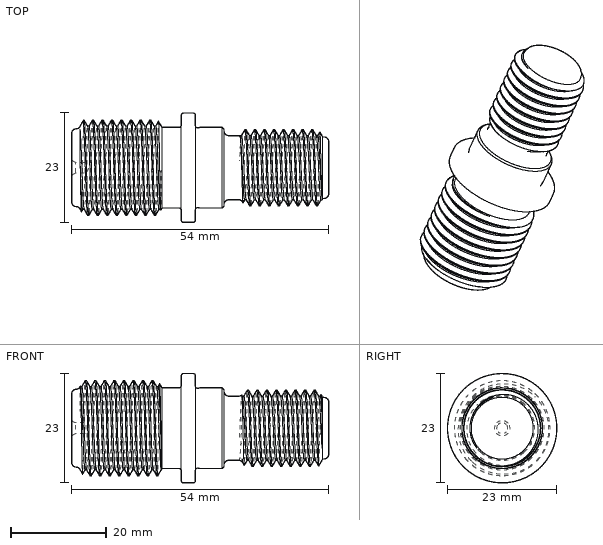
import cadquery as cq
import math

overall_length = 54.0

pitch = 2.0
left_thread_diameter = 20.0
right_thread_diameter = 16.0
flank_angle = 60.0
depth_per_pitch = 0.6134
thread_depth = depth_per_pitch * pitch
crest_width = pitch / 8
cutter_overshoot = 0.1

shank_radius = 8.5
neck_radius = 6.75
left_pilot_radius = 8.2
right_pilot_radius = 6.5
left_end_rounding = 1.0
right_end_rounding = 1.1

left_thread_foot = 1.47
left_thread_end = 18.97
right_thread_foot = 35.6
right_thread_end = 52.7
shoulder_x = 32.0
end_cone_angle = 60.0
left_foot_fillet = 0.8
right_foot_fillet = 1.0

collar_start = 23.0
collar_width = 3.0
collar_end = collar_start + collar_width
collar_radius = 11.5
collar_rounding = 0.5
collar_root_fillet = 0.45

relief_radius = 8.4
relief_width = 0.95
relief_ramp = 0.35

shoulder_chamfer = 0.4
shoulder_fillet = 1.0

hole_radius = 1.15
hole_mouth_radius = 1.6
hole_depth = 3.0
countersink_angle = 60.0
drill_point_angle = 120.0

left_groove_start = 0.0
left_groove_turns = 10
left_start_angle = 0.0
right_groove_start = 17 * pitch
right_groove_turns = 10
right_start_angle = -60.0


def cone_run(rise):
    """Axial length of a thread end cone that climbs by `rise`."""
    return rise / math.tan(math.radians(end_cone_angle))


def foot_tangent(fillet):
    """Distance from a thread foot to the tangent points of its fillet."""
    return fillet * math.tan(math.radians(end_cone_angle) / 2)


def arc_to(profile, centre, radius, start_deg, end_deg):
    """Add an arc given by its centre and its start and end directions."""
    def point(deg):
        angle = math.radians(deg)
        return (centre[0] + radius * math.cos(angle), centre[1] + radius * math.sin(angle))

    return profile.threePointArc(point((start_deg + end_deg) / 2), point(end_deg))


def foot_fillet(profile, foot_x, foot_radius, fillet):
    """Run along the cylinder and blend tangentially into the rising thread end cone."""
    start_x = foot_x - foot_tangent(fillet)
    profile = profile.lineTo(start_x, foot_radius)
    return arc_to(profile, (start_x, foot_radius + fillet), fillet, -90, -90 + end_cone_angle)


def thread_blank(profile, foot_x, foot_radius, end_x, end_radius, crest_radius):
    """Trace the crest cylinder of a thread and its two end cones."""
    profile = profile.lineTo(foot_x + cone_run(crest_radius - foot_radius), crest_radius)
    profile = profile.lineTo(end_x - cone_run(crest_radius - end_radius), crest_radius)
    return profile.lineTo(end_x, end_radius)


def make_body():
    """Revolve the stud outline, with plain cylinders in place of the threads."""
    outline = cq.Workplane("XY").lineTo(0, left_pilot_radius - left_end_rounding)

    pilot_centre = (left_end_rounding, left_pilot_radius - left_end_rounding)
    outline = arc_to(outline, pilot_centre, left_end_rounding, 180, 90)
    outline = foot_fillet(outline, left_thread_foot, left_pilot_radius, left_foot_fillet)
    outline = thread_blank(outline, left_thread_foot, left_pilot_radius,
                           left_thread_end, shank_radius, left_thread_diameter / 2)

    root = collar_root_fillet
    outline = outline.lineTo(collar_start - root, shank_radius)
    outline = arc_to(outline, (collar_start - root, shank_radius + root), root, -90, 0)
    shoulder_radius = collar_radius - collar_rounding
    outline = outline.lineTo(collar_start, shoulder_radius)
    outline = arc_to(outline, (collar_start + collar_rounding, shoulder_radius), collar_rounding, 180, 90)
    outline = outline.lineTo(collar_end - collar_rounding, collar_radius)
    outline = arc_to(outline, (collar_end - collar_rounding, shoulder_radius), collar_rounding, 90, 0)

    outline = outline.lineTo(collar_end, relief_radius + root)
    outline = arc_to(outline, (collar_end + root, relief_radius + root), root, 180, 270)
    relief_end = collar_end + relief_width
    outline = outline.lineTo(relief_end - relief_ramp, relief_radius)
    outline = outline.lineTo(relief_end, shank_radius)

    outline = outline.lineTo(shoulder_x - shoulder_chamfer, shank_radius)
    outline = outline.lineTo(shoulder_x, shank_radius - shoulder_chamfer)
    outline = outline.lineTo(shoulder_x, neck_radius + shoulder_fillet)
    neck_centre = (shoulder_x + shoulder_fillet, neck_radius + shoulder_fillet)
    outline = arc_to(outline, neck_centre, shoulder_fillet, 180, 270)

    outline = foot_fillet(outline, right_thread_foot, neck_radius, right_foot_fillet)
    outline = thread_blank(outline, right_thread_foot, neck_radius,
                           right_thread_end, right_pilot_radius, right_thread_diameter / 2)
    outline = outline.lineTo(overall_length - right_end_rounding, right_pilot_radius)
    tip_centre = (overall_length - right_end_rounding, right_pilot_radius - right_end_rounding)
    outline = arc_to(outline, tip_centre, right_end_rounding, 90, 0)
    outline = outline.lineTo(overall_length, 0).close()

    return outline.revolve(360, (0, 0, 0), (1, 0, 0))


def thread_groove(diameter, start_x, turns, start_angle):
    """Right-hand helical groove around X, in step with a crossing of the +Z side at start_x."""
    crest_radius = diameter / 2
    root_radius = crest_radius - thread_depth
    outer_radius = crest_radius + cutter_overshoot
    flank_slope = math.tan(math.radians(flank_angle / 2))
    crest_half_width = (pitch - crest_width) / 2
    root_half_width = crest_half_width - thread_depth * flank_slope
    outer_half_width = crest_half_width + cutter_overshoot * flank_slope

    path = cq.Wire.makeHelix(pitch, turns * pitch, root_radius)
    section = cq.Workplane("XZ").polyline([
        (root_radius, -root_half_width),
        (outer_radius, -outer_half_width),
        (outer_radius, outer_half_width),
        (root_radius, root_half_width),
    ]).close()
    groove = section.sweep(path, isFrenet=True)
    along_x = groove.rotate((0, 0, 0), (0, 1, 0), 90)
    turned = along_x.rotate((0, 0, 0), (1, 0, 0), 180 + start_angle)
    return turned.translate((start_x + pitch * start_angle / 360, 0, 0))


def centre_hole():
    """Countersunk blind hole with a conical drill point in the left end."""
    countersink_depth = (hole_mouth_radius - hole_radius) / math.tan(math.radians(countersink_angle / 2))
    point_depth = hole_radius / math.tan(math.radians(drill_point_angle / 2))
    return (
        cq.Workplane("XY")
        .lineTo(0, hole_mouth_radius)
        .lineTo(countersink_depth, hole_radius)
        .lineTo(hole_depth, hole_radius)
        .lineTo(hole_depth + point_depth, 0)
        .close()
        .revolve(360, (0, 0, 0), (1, 0, 0))
    )


stud = make_body()
stud = stud.cut(thread_groove(left_thread_diameter, left_groove_start,
                              left_groove_turns, left_start_angle))
stud = stud.cut(thread_groove(right_thread_diameter, right_groove_start,
                              right_groove_turns, right_start_angle))
result = stud.cut(centre_hole())